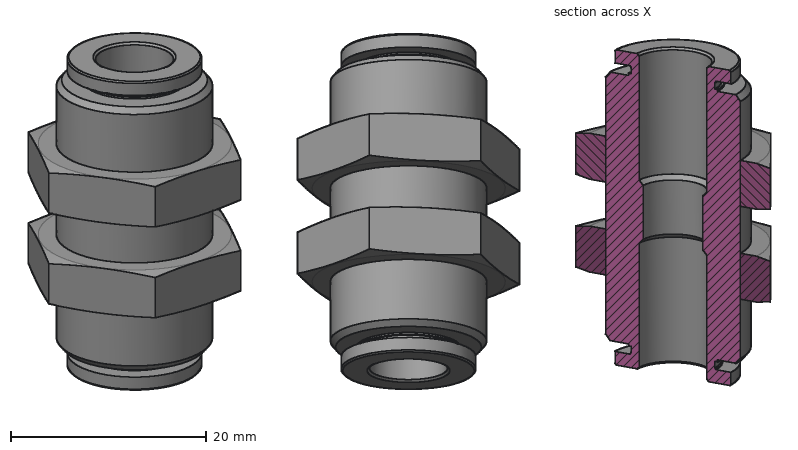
import cadquery as cq
import math

total_length = 34.0
half_length = total_length / 2

barrel_diameter = 16.0
barrel_end_diameter = 14.93
barrel_end_inset = 2.5
barrel_chamfer_height = 0.65

collar_diameter = 10.6
collar_height = 0.2
neck_diameter = 10.0
neck_cone_width = 0.1
neck_cone_height = 0.17

flange_diameter = 13.8
flange_height = 1.5
flange_chamfer = 0.17

socket_diameter = 8.0
socket_depth = 13.6
mouth_chamfer = 0.25
passage_diameter = 7.0

nut_across_flats = 20.0
nut_height = 5.0
nut_gap = 5.0
nut_face_diameter = 19.8
nut_chamfer_angle = 10.0


def end_outline():
    """Outer (radius, height) points of the upper half, from the barrel to the end face."""
    barrel_end = half_length - barrel_end_inset
    flange_base = half_length - flange_height
    barrel_radius = barrel_diameter / 2
    collar_radius = collar_diameter / 2
    neck_radius = neck_diameter / 2
    flange_radius = flange_diameter / 2
    return [
        (barrel_radius, barrel_end - barrel_chamfer_height),
        (barrel_end_diameter / 2, barrel_end),
        (collar_radius, barrel_end),
        (collar_radius, barrel_end + collar_height),
        (neck_radius, barrel_end + collar_height),
        (neck_radius, flange_base - neck_cone_height),
        (neck_radius + neck_cone_width, flange_base),
        (flange_radius, flange_base),
        (flange_radius, half_length - flange_chamfer),
        (flange_radius - flange_chamfer, half_length),
    ]


def bore_outline():
    """Inner (radius, height) points of the upper half, from the end face to the passage."""
    socket_radius = socket_diameter / 2
    passage_radius = passage_diameter / 2
    socket_floor = half_length - socket_depth
    taper_height = socket_radius - passage_radius
    return [
        (socket_radius + mouth_chamfer, half_length),
        (socket_radius, half_length - mouth_chamfer),
        (socket_radius, socket_floor),
        (passage_radius, socket_floor - taper_height),
    ]


def make_sleeve():
    """Turned sleeve, identical at both ends."""
    upper = end_outline() + bore_outline()
    lower = [(radius, -height) for radius, height in reversed(upper)]
    profile = cq.Workplane("XZ").polyline(upper + lower).close()
    return profile.revolve(360, (0, 0, 0), (0, 1, 0))


def make_nut(center_height):
    """Hexagon nut with flats facing +X and -X and conically chamfered corners."""
    corner_diameter = nut_across_flats / math.cos(math.pi / 6)
    corner_radius = corner_diameter / 2
    face_radius = nut_face_diameter / 2
    half_height = nut_height / 2
    corner_drop = (corner_radius - face_radius) * math.tan(math.radians(nut_chamfer_angle))

    hexagon = (
        cq.Workplane("XY")
        .polygon(6, corner_diameter)
        .extrude(half_height, both=True)
        .rotate((0, 0, 0), (0, 0, 1), 30)
    )
    chamfer_envelope = (
        cq.Workplane("XZ")
        .polyline([
            (0, half_height),
            (face_radius, half_height),
            (corner_radius, half_height - corner_drop),
            (corner_radius, corner_drop - half_height),
            (face_radius, -half_height),
            (0, -half_height),
        ])
        .close()
        .revolve(360, (0, 0, 0), (0, 1, 0))
    )
    bore = cq.Workplane("XY").circle(barrel_diameter / 2).extrude(half_height, both=True)
    return hexagon.intersect(chamfer_envelope).cut(bore).translate((0, 0, center_height))


sleeve = make_sleeve()

nut_offset = (nut_gap + nut_height) / 2
nuts = [make_nut(side * nut_offset) for side in (1, -1)]

result = cq.Compound.makeCompound([sleeve.val(), *[nut.val() for nut in nuts]])